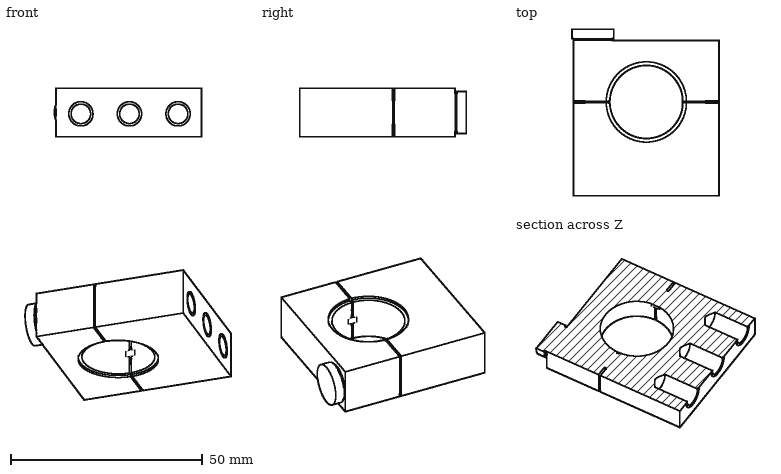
import cadquery as cq
import math

block_width = 38.1
block_length = 40.64
thickness = 12.7
back_y = 16.07
front_y = back_y - block_length
split_gap = 0.5

bore_dia = 19.05
recess_dia = 21.0
recess_depth = 0.6

screw_dia = 6.15
screw_spacing = 25.4
screw_offset_x = -0.26
screw_embed = 1.0

neck_dia = 10.0
neck_height = 0.49
head_dia = 11.0
head_height = 2.5
head_overhang = 0.45
head_x = -block_width / 2 - head_overhang + head_dia / 2

hole_spacing = 12.7
hole_offset_x = 0.16
hole_z = -0.35
hole_count = 3
hole_dia = 5.1
hole_depth = 10.0
drill_angle = 118.0
hole_rim_dia = 6.35
hole_rim_depth = 0.1


def rod(dia, x, y_start, length, z=0):
    """Solid cylinder along +Y, starting at (x, y_start, z)."""
    start = cq.Vector(x, y_start, z)
    return cq.Workplane(cq.Solid.makeCylinder(dia / 2, length, start, cq.Vector(0, 1, 0)))


def drilled_hole(x):
    """Cutter for a blind hole with a cone bottom and a shallow rim recess."""
    tip_length = hole_dia / 2 / math.tan(math.radians(drill_angle / 2))
    tip = cq.Solid.makeCone(
        hole_dia / 2,
        0,
        tip_length,
        cq.Vector(x, front_y + hole_depth, hole_z),
        cq.Vector(0, 1, 0),
    )
    shaft = rod(hole_dia, x, front_y, hole_depth, hole_z)
    rim = rod(hole_rim_dia, x, front_y, hole_rim_depth, hole_z)
    return shaft.union(cq.Workplane(tip)).union(rim)


def split_block():
    """Two clamp halves with the bore and its end recesses."""
    block = cq.Workplane().box(block_width, block_length, thickness)
    block = block.translate((0, back_y - block_length / 2, 0))
    split = cq.Workplane().box(block_width, split_gap, thickness)
    bore = cq.Workplane().circle(bore_dia / 2).extrude(thickness, both=True)
    top_recess = (
        cq.Workplane()
        .workplane(offset=thickness / 2 - recess_depth)
        .circle(recess_dia / 2)
        .extrude(recess_depth)
    )
    bottom_recess = top_recess.mirror("XY")
    return block.cut(split).cut(bore).cut(top_recess).cut(bottom_recess)


def screw_shanks():
    """Two screw shanks bridging the split and tying the halves together."""
    shank_length = split_gap + 2 * screw_embed
    shanks = cq.Workplane()
    for side in (-1, 1):
        screw_x = screw_offset_x + side * screw_spacing / 2
        shanks = shanks.add(rod(screw_dia, screw_x, -shank_length / 2, shank_length))
    return shanks


def thumb_screw():
    """Narrow neck and wider round head on the back face."""
    neck = rod(neck_dia, head_x, back_y, neck_height)
    head = rod(head_dia, head_x, back_y + neck_height, head_height)
    return neck.union(head)


result = split_block().union(screw_shanks())

for index in range(hole_count):
    hole_x = hole_offset_x + (index - (hole_count - 1) / 2) * hole_spacing
    result = result.cut(drilled_hole(hole_x))

result = result.union(thumb_screw())